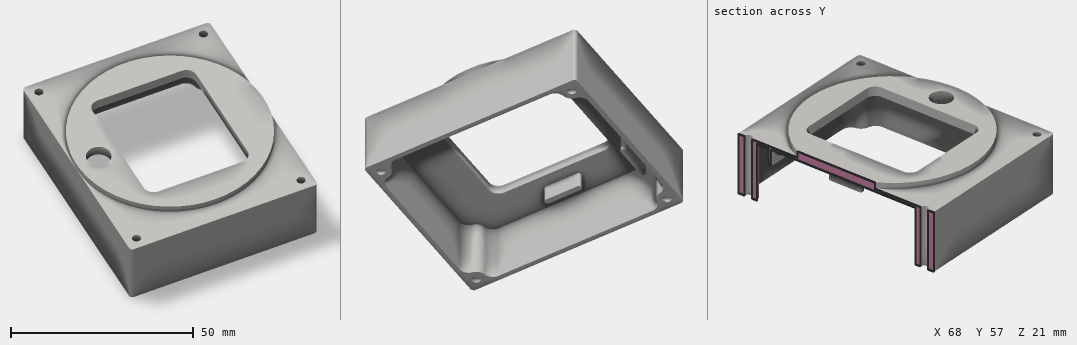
import cadquery as cq

length = 68.0
width = 57.0
overall_height = 21.0
corner_radius = 1.0

disc_height = 2.0
disc_diameter = width
box_height = overall_height - disc_height

wall = 1.5
face_thickness = 3.0
cavity_height = overall_height - face_thickness

hole_diameter = 2.5
hole_x = 30.6
hole_y = 25.0
post_radius = 3.0
post_fillet = 3.0

window_length = 38.1
window_width = 31.55
window_radius = 3.0
button_diameter = 7.0
button_y = -21.7

pad_drop = 5.0
pad_thickness = 1.7
pad_length = 11.7
back_pad_y = 20.5
side_pad_x = 23.2
side_pad_y = 19.4


def make_body():
    box = cq.Workplane("XY").box(length, width, box_height, centered=(True, True, False))
    box = box.edges("|Z").fillet(corner_radius)
    disc = cq.Workplane("XY").workplane(offset=box_height).circle(disc_diameter / 2).extrude(disc_height)
    return box.union(disc)


def make_cavity():
    """Rectangular hollow with a rounded screw post left standing in each corner."""
    cavity = cq.Workplane("XY").box(
        length - 2 * wall, width - 2 * wall, cavity_height, centered=(True, True, False)
    )
    for side_x in (-1, 1):
        for side_y in (-1, 1):
            post = (
                cq.Workplane("XY")
                .center(side_x * hole_x, side_y * hole_y)
                .circle(post_radius)
                .extrude(cavity_height)
            )
            cavity = cavity.cut(post)
    hollow = cavity.solids(cq.selectors.NearestToPointSelector((0, 0, cavity_height / 2)))
    return cq.Workplane("XY").newObject(hollow.vals()).edges("|Z").fillet(post_fillet)


def make_window():
    window = cq.Workplane("XY").rect(window_length, window_width).extrude(overall_height)
    return window.edges("|Z").fillet(window_radius)


def make_round_holes():
    button = cq.Workplane("XY").center(0, button_y).circle(button_diameter / 2).extrude(overall_height)
    screws = (
        cq.Workplane("XY")
        .rect(2 * hole_x, 2 * hole_y, forConstruction=True)
        .vertices()
        .circle(hole_diameter / 2)
        .extrude(overall_height)
    )
    return button.union(screws)


def make_pad(x, y, angle):
    """Bar with round ends, hanging from the face into the cavity."""
    return (
        cq.Workplane("XY")
        .workplane(offset=cavity_height - pad_drop)
        .center(x, y)
        .slot2D(pad_length, pad_thickness, angle)
        .extrude(pad_drop)
    )


result = make_body().cut(make_cavity()).cut(make_window()).cut(make_round_holes())
result = result.union(make_pad(0, back_pad_y, 0)).union(make_pad(side_pad_x, side_pad_y, 90))